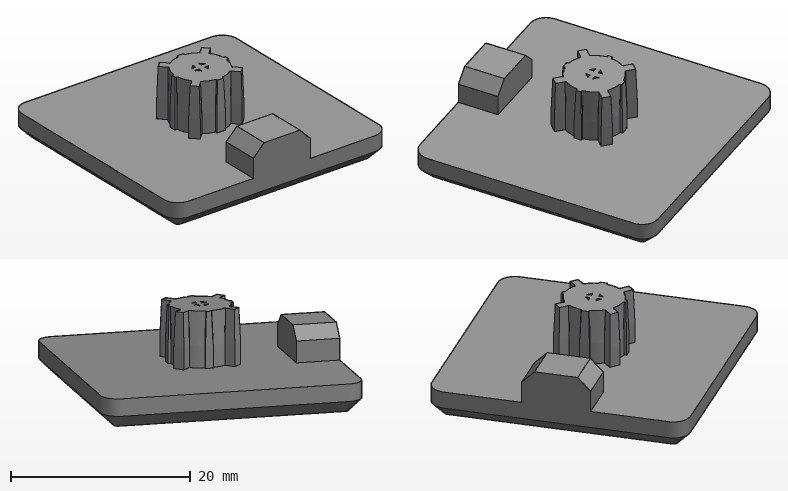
import cadquery as cq
import math

plate_size = 30.0
plate_corner_radius = 2.0
plate_chamfer = 1.5
plate_thickness = 3.5

post_straight_height = 2.5
post_tapered_height = 4.0
post_height = post_straight_height + post_tapered_height
post_taper_angle = 2.0
core_radius = 3.6
rib_reach = 4.8
rib_width = 1.3
x_pad_reach = 3.85
x_pad_width = 1.15
y_pad_reach = 3.88
y_pad_width = 0.9

taper_inset = post_tapered_height * math.tan(math.radians(post_taper_angle))
pit_corner_x = y_pad_width / 2 - taper_inset
pit_corner_y = x_pad_width / 2 - taper_inset
pit_leg = 0.5
pit_depth = 3.5

tab_length = 5.0
tab_width = 8.0
tab_height = 4.0
tab_chamfer = 1.5


def make_plate():
    """Square plate with rounded corners, chamfered all round its bottom face."""
    plate = cq.Workplane("XY").rect(plate_size, plate_size).extrude(plate_thickness)
    plate = plate.edges("|Z").fillet(plate_corner_radius)
    return plate.faces("<Z").chamfer(plate_chamfer)


def bar_through_centre(reach, width, angle):
    """Flat bar centred on the post axis, reaching equally far both ways."""
    bar = cq.Sketch().rect(2 * reach, width)
    about_z = cq.Location(cq.Vector(0, 0, 0), cq.Vector(0, 0, 1), angle)
    return bar.moved(about_z)


def post_profile():
    """Cross-section of the straight part of the post, as a single wire."""
    bars = [
        (rib_reach, rib_width, 45),
        (rib_reach, rib_width, 135),
        (x_pad_reach, x_pad_width, 0),
        (y_pad_reach, y_pad_width, 90),
    ]
    profile = cq.Sketch().circle(core_radius)
    for reach, width, angle in bars:
        profile = profile.face(bar_through_centre(reach, width, angle))
    return profile.clean()


def make_post():
    """Straight lower length followed by a length that tapers inwards."""
    profile = post_profile()
    straight_top = plate_thickness + post_straight_height
    straight = (
        cq.Workplane("XY", origin=(0, 0, plate_thickness))
        .placeSketch(profile)
        .extrude(post_straight_height)
    )
    tapered = (
        cq.Workplane("XY", origin=(0, 0, straight_top))
        .placeSketch(profile)
        .extrude(post_tapered_height, taper=post_taper_angle)
    )
    return straight.union(tapered, clean=False)


def make_pits():
    """Right-angled triangular pits whose walls close in towards the bottom, as a list."""
    post_top = cq.Workplane("XY", origin=(0, 0, plate_thickness + post_height))
    pits = []
    for side_x in (-1, 1):
        for side_y in (-1, 1):
            corner_x = side_x * pit_corner_x
            corner_y = side_y * pit_corner_y
            corners = [
                (corner_x, corner_y),
                (corner_x + side_x * pit_leg, corner_y),
                (corner_x, corner_y + side_y * pit_leg),
            ]
            outline = post_top.polyline(corners).close()
            pits.append(outline.extrude(-pit_depth, taper=post_taper_angle))
    return pits


def make_tab():
    """Block flush with the +X edge, its two long top edges chamfered."""
    tab_centre_x = (plate_size - tab_length) / 2
    tab = (
        cq.Workplane("XY", origin=(tab_centre_x, 0, plate_thickness))
        .rect(tab_length, tab_width)
        .extrude(tab_height)
    )
    return tab.faces(">Z").edges("|X").chamfer(tab_chamfer)


result = make_plate().union(make_tab()).union(make_post(), clean=False)
for pit in make_pits():
    result = result.cut(pit, clean=False)